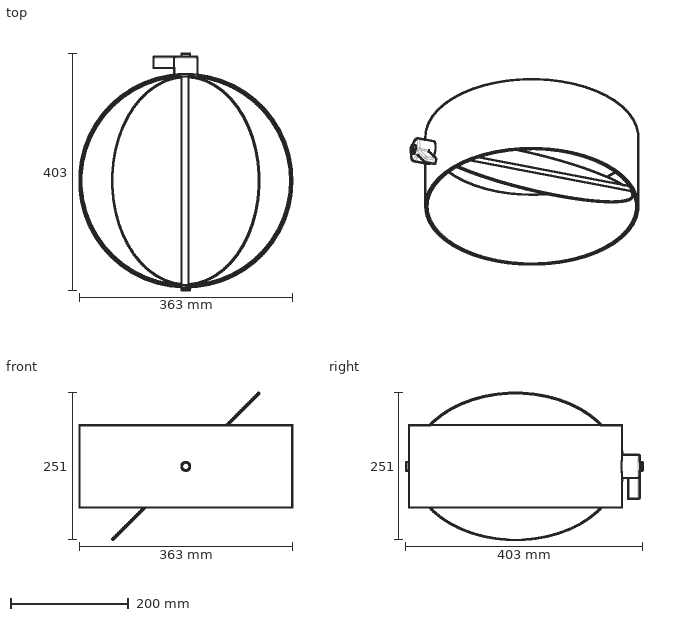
import cadquery as cq
import math

RING_OUTER_DIAMETER = 363.0
RING_INNER_DIAMETER = 355.0
RING_HEIGHT = 140.0

BLADE_DIAMETER = 353.0
BLADE_THICKNESS = 2.0
OPENING_ANGLE = 45.0

SHAFT_DIAMETER = 15.0
SHAFT_FRONT_PROJECTION = 5.0
SHAFT_HUB_PROJECTION = 5.0
SHAFT_END_CHAMFER = 1.0

HUB_DIAMETER = 40.0
HUB_PROJECTION = 30.0
LEVER_LENGTH = 75.0
LEVER_THICKNESS = 10.0
LEVER_DEPTH = 20.0
LEVER_CORNER_RADIUS = 3.0
LEVER_ROOT_RADIUS = 3.0
HANDLE_EDGE_RADIUS = 3.0

RING_OUTER_RADIUS = RING_OUTER_DIAMETER / 2
HANDLE_FACE_Y = RING_OUTER_RADIUS + HUB_PROJECTION


def turn_open(body):
    """Rotate a body about the shaft axis so that its +X side rises by the opening angle."""
    return body.rotate((0, 0, 0), (0, 1, 0), -OPENING_ANGLE)


def cylinder_along_y(diameter, start_y, end_y):
    """Solid cylinder on the Y axis between two Y positions."""
    plane = cq.Workplane("XZ", origin=(0, end_y, 0))
    return plane.circle(diameter / 2).extrude(end_y - start_y)


def make_ring():
    profile = cq.Workplane("XY").circle(RING_OUTER_RADIUS).circle(RING_INNER_DIAMETER / 2)
    return profile.extrude(RING_HEIGHT / 2, both=True)


def make_blade():
    disc = cq.Workplane("XY").circle(BLADE_DIAMETER / 2).extrude(BLADE_THICKNESS / 2, both=True)
    return turn_open(disc)


def make_shaft():
    front_y = -(RING_OUTER_RADIUS + SHAFT_FRONT_PROJECTION)
    back_y = HANDLE_FACE_Y + SHAFT_HUB_PROJECTION
    shaft = cylinder_along_y(SHAFT_DIAMETER, front_y, back_y)
    return shaft.faces("<Y or >Y").chamfer(SHAFT_END_CHAMFER)


def make_lever():
    """Lever lying flat toward -X before it is turned, with rounded tip corners."""
    bar = cq.Workplane("XY").box(
        LEVER_LENGTH, LEVER_DEPTH, LEVER_THICKNESS, centered=(False, False, True)
    )
    bar = bar.translate((-LEVER_LENGTH, HANDLE_FACE_Y - LEVER_DEPTH, 0))
    return bar.edges("|Y and <X").fillet(LEVER_CORNER_RADIUS)


def make_handle():
    """Hub and lever joined by root fillets, rounded along the outer face, bored to sit on the ring."""
    hub = cylinder_along_y(HUB_DIAMETER, 0, HANDLE_FACE_Y)
    handle = hub.union(make_lever())

    half_thickness = LEVER_THICKNESS / 2
    root_x = -math.sqrt((HUB_DIAMETER / 2) ** 2 - half_thickness**2)
    middle_y = HANDLE_FACE_Y - LEVER_DEPTH / 2
    for side in (-1, 1):
        root = cq.selectors.NearestToPointSelector((root_x, middle_y, side * half_thickness))
        handle = handle.edges(root).fillet(LEVER_ROOT_RADIUS)

    handle = handle.faces(">Y").edges().fillet(HANDLE_EDGE_RADIUS)
    ring_envelope = cq.Workplane("XY").circle(RING_OUTER_RADIUS).extrude(RING_HEIGHT / 2, both=True)
    return turn_open(handle).cut(ring_envelope)


result = make_ring().union(make_shaft()).union(make_blade()).union(make_handle())